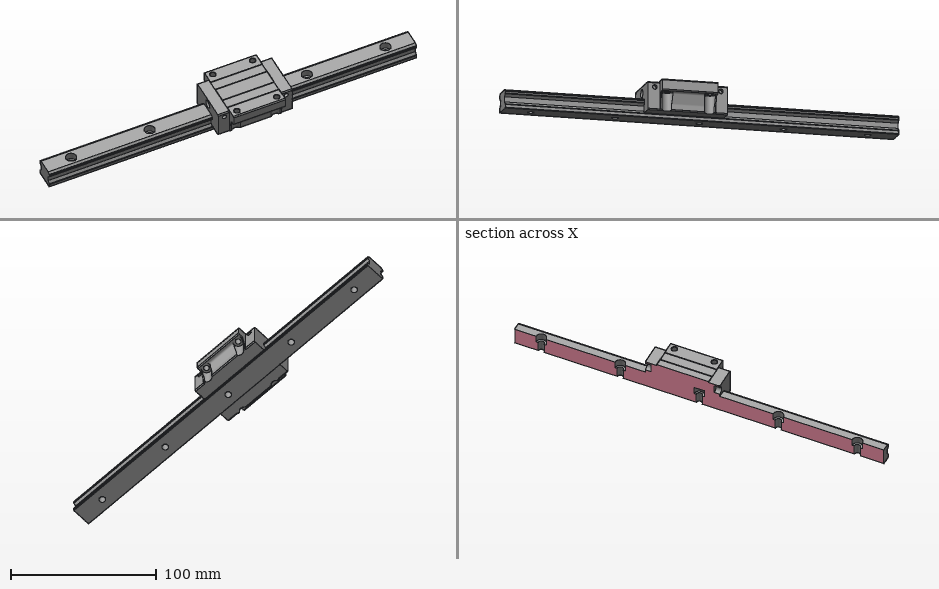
import cadquery as cq

rail_length = 280
rail_half_width = 7.5
rail_edge_half_width = 7.3
rail_head_half_width = 5.5
rail_neck_half_width = 5.5
rail_height = 13.5
head_side_top = 11.8
head_side_bottom = 10.5
neck_top = 8.5
neck_bottom = 4.8
foot_top = 2.5
rail_edge_height = 0.5
rail_hole_pitch = 60.0
rail_hole_count = 5
rail_hole_diameter = 4.5
rail_bore_diameter = 7.5
rail_bore_depth = 5.3

total_height = 24.0
body_length = 39.5
flange_half_width = 23.5
flange_bottom = 16.0
flange_chamfer = 0.8
body_bottom = 3.5
slope_top_half_width = 19.5
skirt_half_width = 17.5
skirt_top = 7.8
skirt_fillet = 3.5
flange_root_fillet = 1.7
skirt_chamfer = 0.8
groove_inner = 5.5
groove_outer = 13.2
groove_depth = 0.5

flange_hole_x = 19.0
flange_hole_y = 15.0
flange_hole_diameter = 4.0
flange_countersink_diameter = 4.5
flange_countersink_angle = 90
scallop_diameter = 7.5

carriage_length = 56.5
carriage_offset = 12.5
cap_half_width = 16.8
cap_top = 23.2
cap_bottom = 3.5
cap_chamfer = 0.8
end_port_diameter = 6.0
end_port_z = 18.5
end_port_depth = 4.2
side_port_diameter = 3.0
side_port_y = 23.5
side_port_z = 19.5
side_port_depth = 2.8


def symmetric_bar(right_side, length):
    """Extrude a profile, given by its +X side from bottom to top, centred along Y."""
    left_side = [(-x, z) for x, z in reversed(right_side)]
    return cq.Workplane("XZ").polyline(right_side + left_side).close().extrude(length / 2, both=True)


def drill_down(points, diameter, top, depth):
    """Solid cylinders for vertical holes that start at height top."""
    return cq.Workplane("XY").workplane(offset=top).pushPoints(points).circle(diameter / 2).extrude(-depth)


def rail_bar():
    """Rail with a wide head and foot, a narrow neck and broken edges."""
    return symmetric_bar(
        [
            (rail_edge_half_width, 0),
            (rail_half_width, rail_edge_height),
            (rail_half_width, foot_top),
            (rail_edge_half_width, foot_top + rail_edge_height),
            (rail_neck_half_width, neck_bottom),
            (rail_neck_half_width, neck_top),
            (rail_edge_half_width, head_side_bottom - rail_edge_height),
            (rail_half_width, head_side_bottom),
            (rail_half_width, head_side_top),
            (rail_edge_half_width, head_side_top + rail_edge_height),
            (rail_head_half_width, rail_height),
        ],
        rail_length,
    )


def rail_holes():
    """Counterbored mounting holes along the full rail."""
    middle = (rail_hole_count - 1) / 2
    hole_centres = [(0, (i - middle) * rail_hole_pitch) for i in range(rail_hole_count)]
    holes = drill_down(hole_centres, rail_hole_diameter, rail_height, rail_height)
    return holes.union(drill_down(hole_centres, rail_bore_diameter, rail_height, rail_bore_depth))


def make_body():
    """Flanged block with two shallow grooves on top and tapered flanks."""
    body = symmetric_bar(
        [
            (skirt_half_width - skirt_chamfer, body_bottom),
            (skirt_half_width, body_bottom + skirt_chamfer),
            (skirt_half_width, skirt_top),
            (slope_top_half_width, flange_bottom),
            (flange_half_width - flange_chamfer, flange_bottom),
            (flange_half_width, flange_bottom + flange_chamfer),
            (flange_half_width, total_height - flange_chamfer),
            (flange_half_width - flange_chamfer, total_height),
            (groove_outer, total_height),
            (groove_outer, total_height - groove_depth),
            (groove_inner, total_height - groove_depth),
            (groove_inner, total_height),
        ],
        body_length,
    )
    for side in (-1, 1):
        root = cq.NearestToPointSelector((side * slope_top_half_width, 0, flange_bottom))
        body = body.edges(root).fillet(flange_root_fillet)
        skirt_edge = cq.NearestToPointSelector((side * skirt_half_width, 0, skirt_top))
        body = body.edges(skirt_edge).fillet(skirt_fillet)
    hole_centres = [(x, y) for x in (-flange_hole_x, flange_hole_x) for y in (-flange_hole_y, flange_hole_y)]
    body = (
        body.faces(">Z")
        .workplane(origin=(0, 0, total_height))
        .pushPoints(hole_centres)
        .cskHole(flange_hole_diameter, flange_countersink_diameter, flange_countersink_angle)
    )
    return body.cut(drill_down(hole_centres, scallop_diameter, flange_bottom, flange_bottom))


def make_caps():
    """Cap at each end of the block, with one end port and two side ports each."""
    caps = symmetric_bar(
        [
            (cap_half_width - cap_chamfer, cap_bottom),
            (cap_half_width, cap_bottom + cap_chamfer),
            (cap_half_width, cap_top - cap_chamfer),
            (cap_half_width - cap_chamfer, cap_top),
        ],
        carriage_length,
    )
    body_space = cq.Workplane("XY").box(2 * flange_half_width, body_length, 2 * total_height)
    caps = caps.cut(body_space)
    end_ports = (
        cq.Workplane("XZ")
        .center(0, end_port_z)
        .circle(end_port_diameter / 2)
        .extrude(carriage_length / 2, both=True)
    )
    between_end_ports = cq.Workplane("XY").box(
        2 * cap_half_width, carriage_length - 2 * end_port_depth, 2 * total_height
    )
    side_ports = (
        cq.Workplane("YZ")
        .pushPoints([(-side_port_y, side_port_z), (side_port_y, side_port_z)])
        .circle(side_port_diameter / 2)
        .extrude(cap_half_width, both=True)
    )
    between_side_ports = cq.Workplane("XY").box(
        2 * (cap_half_width - side_port_depth), carriage_length, 2 * total_height
    )
    return caps.cut(end_ports.cut(between_end_ports)).cut(side_ports.cut(between_side_ports))


carriage = make_body().union(make_caps()).translate((0, carriage_offset, 0))
result = carriage.union(rail_bar()).cut(rail_holes())